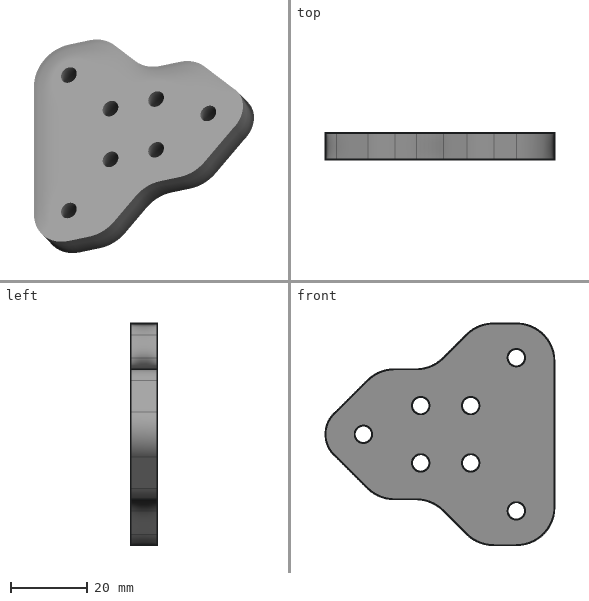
import cadquery as cq
import math

length = 59.95
height = 58.0
thickness = 7.0

bend_radius = 10.0
nose_tip_x = -9.95
nose_half_height = 5.95
shoulder_half_height = 17.0
shoulder_start_x = 8.15
shoulder_end_x = 13.8

hole_diameter = 4.5
grid_hole_x = (15.0, 28.05)
grid_hole_z = 7.5
corner_hole_x = 40.0
corner_hole_z = 20.0

bend_run = bend_radius * math.sin(math.radians(45))
bend_drop = bend_radius * (1 - math.cos(math.radians(45)))
mid_run = bend_radius * math.sin(math.radians(22.5))
mid_drop = bend_radius * (1 - math.cos(math.radians(22.5)))

half_height = height / 2
back_x = nose_tip_x + length
front_flank_top_x = shoulder_start_x - bend_run
front_flank_top_z = shoulder_half_height - bend_drop
nose_arc_end_x = front_flank_top_x - (front_flank_top_z - nose_half_height)
rear_flank_start_x = shoulder_end_x + bend_run
rear_flank_start_z = shoulder_half_height + bend_drop
rear_flank_end_z = half_height - bend_drop
rear_flank_end_x = rear_flank_start_x + rear_flank_end_z - rear_flank_start_z
top_flat_start_x = rear_flank_end_x + bend_run
corner_center_x = back_x - bend_radius
corner_center_z = half_height - bend_radius


def make_plate():
    """Upper half of the outline from nose to back, extruded and mirrored."""
    corner_mid = bend_radius * math.sin(math.radians(45))
    nose_depth = nose_arc_end_x - nose_tip_x
    nose_radius = (nose_half_height**2 + nose_depth**2) / (2 * nose_depth)
    upper_half = (
        cq.Workplane("XZ")
        .moveTo(nose_tip_x, 0)
        .radiusArc((nose_arc_end_x, nose_half_height), nose_radius)
        .lineTo(front_flank_top_x, front_flank_top_z)
        .threePointArc(
            (shoulder_start_x - mid_run, shoulder_half_height - mid_drop),
            (shoulder_start_x, shoulder_half_height),
        )
        .lineTo(shoulder_end_x, shoulder_half_height)
        .threePointArc(
            (shoulder_end_x + mid_run, shoulder_half_height + mid_drop),
            (rear_flank_start_x, rear_flank_start_z),
        )
        .lineTo(rear_flank_end_x, rear_flank_end_z)
        .threePointArc(
            (top_flat_start_x - mid_run, half_height - mid_drop),
            (top_flat_start_x, half_height),
        )
        .lineTo(corner_center_x, half_height)
        .threePointArc(
            (corner_center_x + corner_mid, corner_center_z + corner_mid),
            (back_x, corner_center_z),
        )
        .lineTo(back_x, 0)
        .close()
        .extrude(thickness / 2, both=True)
    )
    return upper_half.union(upper_half.mirror("XY")).clean()


def make_holes():
    """Cylinders for the nose hole, the four-hole grid and the two corner holes."""
    points = [(0, 0)]
    for side in (-1, 1):
        points += [(x, side * grid_hole_z) for x in grid_hole_x]
        points.append((corner_hole_x, side * corner_hole_z))
    return (
        cq.Workplane("XZ")
        .pushPoints(points)
        .circle(hole_diameter / 2)
        .extrude(thickness, both=True)
    )


result = make_plate().cut(make_holes())